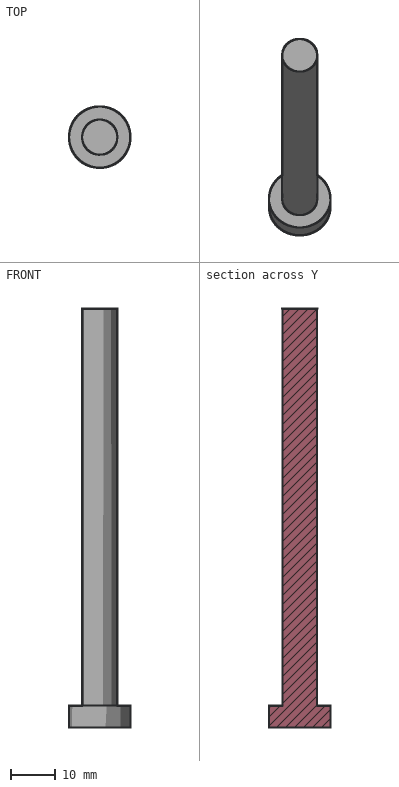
import cadquery as cq

total_length = 95.0
head_diameter = 14.0
head_height = 5.0
shank_diameter = 8.0
shank_length = total_length - head_height

head = cq.Workplane("XY").circle(head_diameter / 2).extrude(head_height)

result = head.faces(">Z").workplane().circle(shank_diameter / 2).extrude(shank_length)